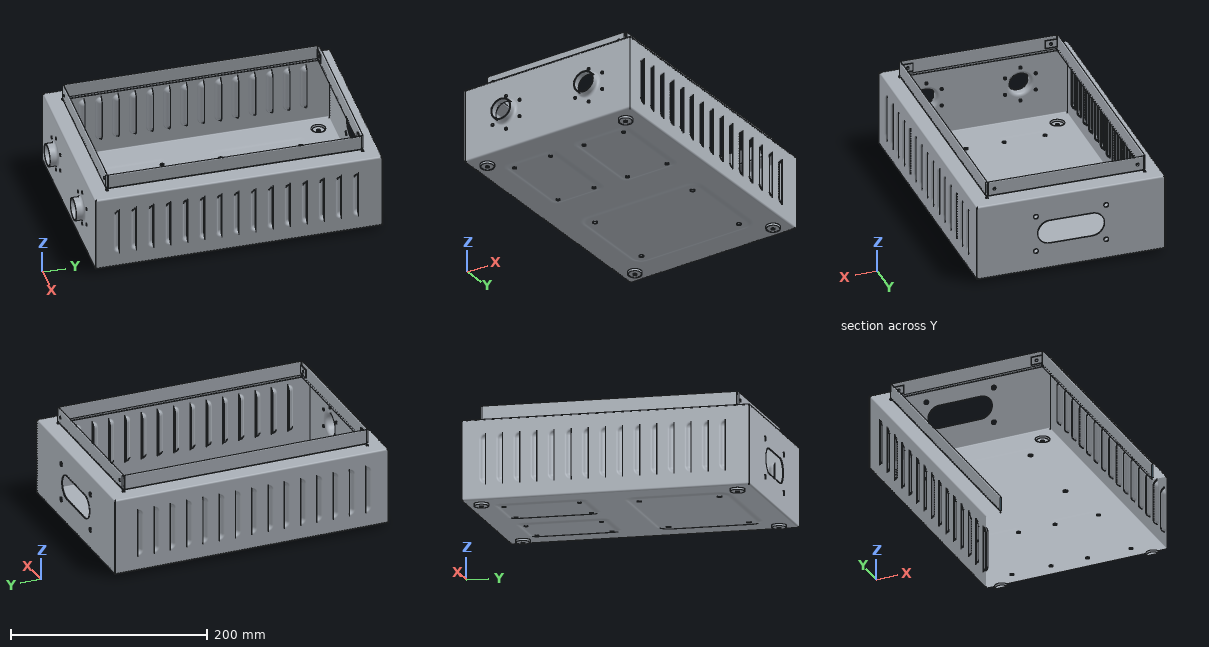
import cadquery as cq
import math

sheet = 1.0
inner_bend = 1.0
outer_bend = inner_bend + sheet

body_width = 204.0
overall_length = 313.0
overall_height = 105.2
spout_length = 9.0
foot_depth = 3.0
body_length = overall_length - spout_length
body_height = 84.5
back_y = overall_length / 2
front_y = back_y - body_length
body_y = (front_y + back_y) / 2

lip_width = 16.0
collar_width = body_width - 2 * lip_width
collar_length = body_length - 2 * lip_width
collar_height = overall_height - foot_depth - body_height
hem_thickness = 2 * sheet
hem_gap = 2.0
corner_relief = 2.2

tab_end = 14.7
tab_height = 9.0
tab_z = body_height + 9.5
tab_hole_inset = 8.8
small_hole = 3.0

louver_count = 15
louver_pitch = 18.03
louver_straight = 39.8
louver_width = 6.5
louver_depth = 4.0
louver_bend_share = 1 / 3
louver_z = 43.0

press_depth = 1.3
step_width = 6.5
upper_step_share = 0.6
large_panel = (0, 71.7, 150.0, 114.2)
large_corner = 15.0
large_hole_span = (119.5, 84.5)
large_hole = 5.0
small_panel_length = 99.2
small_corner = 9.7
small_hole_length = 79.2
panel_hole = 4.0
small_panels = [(-42.5, 64.8, 44.0), (44.8, 69.2, 48.5)]
small_panel_y = -70.7

foot_diameter = 15.0
foot_bore = 13.0
foot_flare = 2.2
foot_hole = 4.0
foot_inset = 17.2

spout_diameter = 24.0
spout_bore = 22.0
spout_flare = 3.0
spout_x = 50.7
spout_z = 42.5
spout_hole_circle = 38.2
spout_hole_count = 6

socket_width = 72.0
socket_height = 26.3
socket_z = body_height / 2
socket_hole_span = (75.7, 40.0)
socket_hole = 5.0


def block(x_range, y_range, z_range):
    """Box between the given limits."""
    size = [high - low for low, high in (x_range, y_range, z_range)]
    return cq.Workplane("XY").box(*size, centered=False).translate((x_range[0], y_range[0], z_range[0]))


def box_shell():
    """Closed sheet box with rounded bends along its top and bottom edges."""
    outer = cq.Workplane("XY").box(body_width, body_length, body_height).edges("|X or |Y").fillet(outer_bend)
    inner = cq.Workplane("XY").box(
        body_width - 2 * sheet, body_length - 2 * sheet, body_height - 2 * sheet
    ).edges("|X or |Y").fillet(inner_bend)
    return outer.cut(inner).translate((0, body_y, body_height / 2))


def collar_side(length):
    """Bend, upright and outward hem; outer face on the YZ plane, inward is +X, lip top at Z = 0."""
    diagonal = math.sqrt(0.5)
    return (
        cq.Workplane("XZ")
        .moveTo(0, 0)
        .threePointArc((inner_bend * diagonal, inner_bend * (1 - diagonal)), (inner_bend, inner_bend))
        .lineTo(sheet, hem_gap)
        .lineTo(0, hem_gap)
        .lineTo(0, collar_height - sheet)
        .threePointArc((sheet, collar_height), (hem_thickness, collar_height - sheet))
        .lineTo(hem_thickness, inner_bend)
        .threePointArc((outer_bend * diagonal, inner_bend - outer_bend * diagonal), (0, -sheet))
        .close()
        .extrude(length / 2, both=True)
    )


def collar():
    """Four collar sides with open corners."""
    long_side = collar_side(collar_length - 2 * corner_relief).translate((-collar_width / 2, 0, 0))
    short_side = collar_side(collar_width - 2 * corner_relief).translate((-collar_length / 2, 0, 0))
    sides = long_side
    for side, turn in ((short_side, 90), (long_side, 180), (short_side, 270)):
        sides = sides.union(side.rotate((0, 0, 0), (0, 0, 1), turn))
    return sides.translate((0, body_y, body_height))


def corner_tabs():
    """Tabs behind the short collar sides, one in each corner."""
    tab = block(
        (-collar_width / 2 + hem_thickness, -collar_width / 2 + tab_end),
        (-collar_length / 2 + hem_thickness, -collar_length / 2 + hem_thickness + sheet),
        (tab_z - tab_height / 2, tab_z + tab_height / 2),
    )
    tabs = tab.union(tab.mirror("YZ"))
    return tabs.union(tabs.mirror("XZ")).translate((0, body_y, 0))


def tab_holes():
    """Holes through the tabs and the short collar sides."""
    x = collar_width / 2 - tab_hole_inset
    return (
        cq.Workplane("XZ", origin=(0, body_y, tab_z))
        .pushPoints([(-x, 0), (x, 0)])
        .circle(small_hole / 2)
        .extrude(body_length / 2, both=True)
    )


def step_arcs(width, depth, first_share):
    """Radii of two tangent arcs that form a smooth step, and the angle both turn through."""
    radius_sum = (width ** 2 + depth ** 2) / (2 * depth)
    angle = math.asin(width / radius_sum)
    return radius_sum * first_share, radius_sum * (1 - first_share), angle


def louver_form(offset):
    """Scoop bounded by a curve set in by `offset`; open edge at Y = 0, wall face at X = 0."""
    bend, crown, angle = step_arcs(louver_width, louver_depth, louver_bend_share)

    def bend_point(turn):
        radius = bend - offset
        return (bend - radius * math.cos(turn), radius * math.sin(turn) - louver_width)

    def crown_point(turn):
        radius = crown + offset
        return (louver_depth - crown + radius * math.cos(turn), -radius * math.sin(turn))

    outline = (
        cq.Workplane("XY")
        .moveTo(offset, 0)
        .lineTo(*bend_point(0))
        .threePointArc(bend_point(angle / 2), bend_point(angle))
        .threePointArc(crown_point(angle / 2), crown_point(0))
        .close()
        .val()
    )
    straight = cq.Workplane("XY").add(outline).toPending().extrude(louver_straight / 2, both=True)
    bottom = cq.Workplane("XY").add(outline).toPending().revolve(90, (0, 0, 0), (1, 0, 0))
    bottom = bottom.translate((0, 0, -louver_straight / 2))
    return straight.union(bottom).union(bottom.mirror("XY"))


def louver_rows(offset):
    """Louver forms along both long walls."""
    form = louver_form(offset)
    row = cq.Workplane("XY")
    for index in range(louver_count):
        y = body_y + (index - (louver_count - 1) / 2) * louver_pitch
        row.add(form.translate((-body_width / 2, y, louver_z)).vals())
        row.add(form.mirror("YZ").translate((body_width / 2, y, louver_z)).vals())
    return row.combine()


def rounded_plate(x, y, width, length, corner, low, high):
    """Plate with rounded corners between two heights."""
    return (
        cq.Workplane("XY", origin=(x, y, low)).rect(width, length).extrude(high - low).edges("|Z").fillet(corner)
    )


def step_ring(x, y, width, length, corner):
    """Sheet strip that steps down from the floor along a rounded rectangle's inside."""
    upper, lower, slope = step_arcs(step_width, press_depth, upper_step_share)

    def upper_point(radius, angle):
        return (radius * math.sin(angle), sheet - upper + radius * math.cos(angle))

    def lower_point(radius, angle):
        return (step_width - radius * math.sin(angle), sheet - press_depth + lower - radius * math.cos(angle))

    path = (
        cq.Workplane("XY", origin=(x, y, 0)).rect(width, length).extrude(3).edges("|Z").fillet(corner)
        .faces("<Z").wires()
    )
    profile = (
        cq.Workplane("XZ", origin=(x - width / 2, y, 0))
        .moveTo(*upper_point(upper, 0))
        .threePointArc(upper_point(upper, slope / 2), upper_point(upper, slope))
        .threePointArc(lower_point(lower, slope / 2), lower_point(lower, 0))
        .lineTo(*lower_point(lower + sheet, 0))
        .threePointArc(lower_point(lower + sheet, slope / 2), lower_point(lower + sheet, slope))
        .threePointArc(upper_point(upper - sheet, slope / 2), upper_point(upper - sheet, 0))
        .close()
    )
    return profile.sweep(path)


def press_panel(body, panel, corner, hole_span, hole):
    """Replace a floor area by a lowered panel with four holes."""
    x, y, width, length = panel
    body = body.cut(rounded_plate(x, y, width, length, corner, 0, sheet))
    plate = rounded_plate(
        x, y, width - 2 * step_width, length - 2 * step_width, corner - step_width,
        -press_depth, sheet - press_depth,
    )
    holes = (
        cq.Workplane("XY", origin=(x, y, -press_depth))
        .rect(*hole_span, forConstruction=True).vertices().circle(hole / 2).extrude(press_depth + sheet)
    )
    return body.union(step_ring(x, y, width, length, corner)).union(plate).cut(holes)


def foot_points():
    """Centres of the four feet."""
    x = body_width / 2 - foot_inset
    y = body_length / 2 - foot_inset
    return [(sx * x, body_y + sy * y) for sx in (-1, 1) for sy in (-1, 1)]


def add_feet(body):
    """Cup-shaped feet with a flared mouth and a central hole."""
    foot = (
        cq.Workplane("XY").workplane(offset=-foot_depth).circle(foot_diameter / 2).extrude(foot_depth)
        .faces("<Z").edges().fillet(inner_bend)
    )
    bore = foot_bore / 2
    diagonal = math.sqrt(0.5)
    cup_bottom = sheet - foot_depth
    cavity = (
        cq.Workplane("XZ")
        .moveTo(0, cup_bottom)
        .lineTo(bore, cup_bottom)
        .lineTo(bore, sheet - foot_flare)
        .threePointArc(
            (bore + foot_flare * (1 - diagonal), sheet - foot_flare * (1 - diagonal)),
            (bore + foot_flare, sheet),
        )
        .lineTo(0, sheet)
        .close()
        .revolve(360, (0, 0, 0), (0, 1, 0))
    )
    hole = cq.Workplane("XY").workplane(offset=-foot_depth).circle(foot_hole / 2).extrude(foot_depth)
    for x, y in foot_points():
        body = body.union(foot.translate((x, y, 0))).cut(cavity.union(hole).translate((x, y, 0)))
    return body


def add_spouts(body):
    """Flared tubes drawn out of the front wall, each with a ring of screw holes."""
    outer = spout_diameter / 2
    bore = spout_bore / 2
    inner_flare = spout_flare + outer - bore
    diagonal = math.sqrt(0.5)
    tip = front_y - spout_length
    inside = front_y + sheet
    tube = (
        cq.Workplane("XY")
        .moveTo(bore, tip)
        .lineTo(outer, tip)
        .lineTo(outer, front_y - spout_flare)
        .threePointArc(
            (outer + spout_flare * (1 - diagonal), front_y - spout_flare * (1 - diagonal)),
            (outer + spout_flare, front_y),
        )
        .lineTo(outer + spout_flare, inside)
        .threePointArc(
            (bore + inner_flare * (1 - diagonal), inside - inner_flare * (1 - diagonal)),
            (bore, inside - inner_flare),
        )
        .close()
        .revolve(360, (0, 0, 0), (0, 1, 0))
    )
    opening = cq.Workplane("XZ", origin=(0, inside, 0)).circle(outer + spout_flare).extrude(sheet)
    holes = (
        cq.Workplane("XZ", origin=(0, inside, 0))
        .polarArray(spout_hole_circle / 2, 90, 360, spout_hole_count).circle(small_hole / 2).extrude(sheet)
    )
    for x in (-spout_x, spout_x):
        place = (x, 0, spout_z)
        body = body.cut(opening.union(holes).translate(place)).union(tube.translate(place))
    return body


def socket_opening():
    """Rounded slot with four screw holes through the back wall."""
    wall = cq.Workplane("XZ", origin=(0, back_y, socket_z))
    slot = wall.slot2D(socket_width, socket_height).extrude(sheet)
    holes = wall.rect(*socket_hole_span, forConstruction=True).vertices().circle(socket_hole / 2).extrude(sheet)
    return slot.union(holes)


top_opening = block(
    (-collar_width / 2, collar_width / 2),
    (body_y - collar_length / 2, body_y + collar_length / 2),
    (body_height - sheet, body_height),
)
result = box_shell().cut(top_opening).union(collar()).union(corner_tabs()).cut(tab_holes())
result = result.union(louver_rows(sheet)).cut(louver_rows(0))
result = press_panel(result, large_panel, large_corner, large_hole_span, large_hole)
for panel_x, panel_width, hole_span_x in small_panels:
    panel = (panel_x, small_panel_y, panel_width, small_panel_length)
    result = press_panel(result, panel, small_corner, (hole_span_x, small_hole_length), panel_hole)
result = add_feet(result)
result = add_spouts(result)
result = result.cut(socket_opening())